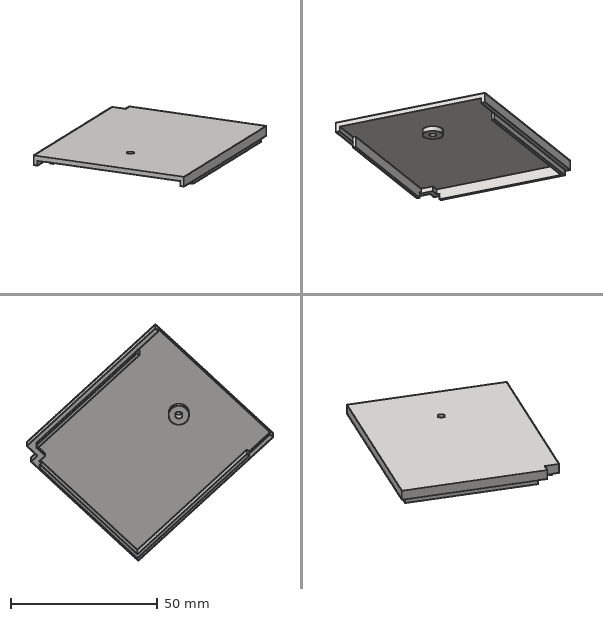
import cadquery as cq

width = 57.0
length = 65.0
height = 5.6
plate_thickness = 1.75
rim_height = 3.5

side_rim = 1.5
back_rim = 1.05

lip_thickness = 1.05
lip_front_setback = 10.15

notch_width = 5.1
notch_length = 3.05
notch_wall = 1.95
notch_lip_gap = 3.0

boss_diameter = 7.0
hole_diameter = 2.5
boss_x = width / 2
boss_y = 17.1

plate_bottom = height - plate_thickness
rim_bottom = height - rim_height
corner_width = notch_width + notch_wall
corner_length = notch_length + notch_wall


def block(x_min, x_max, y_min, y_max, z_min, z_max):
    """Axis-aligned box given by its limits."""
    size = (x_max - x_min, y_max - y_min, z_max - z_min)
    return cq.Workplane("XY").box(*size, centered=False).translate((x_min, y_min, z_min))


def make_shell():
    """Plate with its rims and the thick back left corner."""
    shell = block(0, width, 0, length, plate_bottom, height)
    for x in (0, width - side_rim):
        shell = shell.union(block(x, x + side_rim, 0, length, rim_bottom, height))
    shell = shell.union(block(0, width, length - back_rim, length, rim_bottom, height))
    return shell.union(block(0, corner_width, length - corner_length, length, rim_bottom, height))


def make_lips():
    """U-shaped lip, cut short below the rim near the notch."""
    left = side_rim
    right = width - side_rim
    back = length - back_rim
    outer = block(left, right, lip_front_setback, back, 0, height)
    inner = block(left + lip_thickness, right - lip_thickness, 0, back - lip_thickness, 0, height)
    relief = block(
        0, notch_width + notch_lip_gap, length - notch_length - notch_lip_gap, length, 0, rim_bottom
    )
    return outer.cut(inner).cut(relief)


def make_cylinder(diameter, z_min, z_max):
    """Vertical cylinder on the screw axis."""
    base = cq.Workplane("XY", origin=(boss_x, boss_y, z_min))
    return base.circle(diameter / 2).extrude(z_max - z_min)


notch = block(0, notch_width, length - notch_length, length, 0, height)

result = make_shell().union(make_lips())
result = result.union(make_cylinder(boss_diameter, rim_bottom, height))
result = result.cut(make_cylinder(hole_diameter, 0, height)).cut(notch)